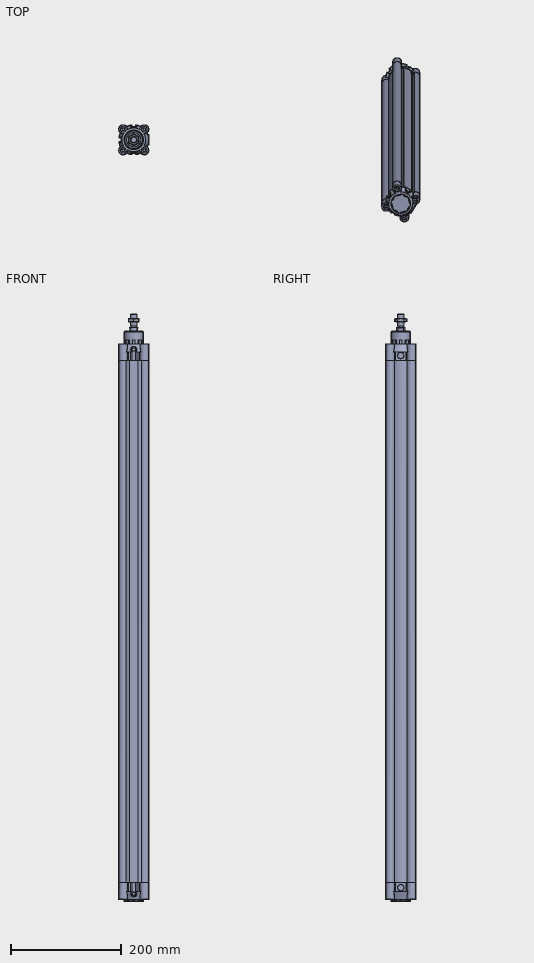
import cadquery as cq
import math

stroke = 900.0
foot_collar_height = 4.0
body_length = 105.0 + stroke
rod_end_extension = 30.0
thread_length = 24.0
body_top = foot_collar_height + body_length
overall_length = body_top + rod_end_extension + thread_length

body_width = 54.5
half_width = body_width / 2
screw_offset = 19.0
post_radius = 8.0
post_offset = half_width - post_radius
tube_radius = 22.5
bore_diameter = 40.0
rod_diameter = 16.0

cap_length = 30.0
cone_length = 14.5
cone_end_radius = 21.5
cone_base_radius = half_width
screw_hole_diameter = 4.92
screw_hole_depth = 20.0
screw_recess_diameter = 10.0
screw_recess_depth = 4.0
port_diameter = 11.45
port_depth = 10.0
port_boss_width = 19.0
port_from_end = 21.0
side_angles = (90, 180, 270)

wide_recess_width = 19.0
wide_recess_floor = 20.0
middle_recess_width = 12.0
middle_recess_floor = 18.5
narrow_recess_width = 7.0
narrow_recess_floor = 17.0
keyhole_diameter = 11.0
keyhole_from_end = 10.0
screw_seat_diameter = 6.2
screw_seat_floor = 15.5

collar_diameter = 35.0
head_collar_height = 23.5
collar_chamfer_height = 2.0
collar_chamfer_width = 1.5
wiper_seat_diameter = 26.0
wiper_seat_depth = 1.0
head_notch_height = 7.5
foot_notch_height = 2.5
notch_depth = 2.0
notch_count = 8
axis_notch_width = 5.0
diagonal_notch_width = 8.0

barrel_bottom = foot_collar_height + cap_length
barrel_length = body_length - 2 * cap_length
slot_half_width = 14.0
slot_floor = 15.0
pad_width = 16.0
pad_face = 24.5

thread_diameter = 12.0
thread_chamfer = 1.0
undercut_diameter = 10.3
undercut_length = 3.0
wrench_flat_width = 13.0
wrench_flat_length = 7.0
wrench_flat_gap = 1.0
nut_across_flats = 19.0
nut_height = 6.0
nut_bottom = overall_length - 14.0
nut_chamfer_height = 0.8
nut_face_diameter = 18.0


def cylinder(diameter, height, bottom=0.0):
    return cq.Workplane("XY").workplane(offset=bottom).circle(diameter / 2).extrude(height)


def box(x_range, y_range, z_range):
    """Box between the given limits on each axis."""
    sizes = [high - low for low, high in (x_range, y_range, z_range)]
    corner = cq.Vector(x_range[0], y_range[0], z_range[0])
    return cq.Workplane(cq.Solid.makeBox(*sizes, corner))


def turned(body, angle):
    return body.rotate((0, 0, 0), (0, 0, 1), angle)


def revolved(profile):
    """Solid of revolution about Z from (radius, z) points."""
    return cq.Workplane("XZ").polyline(profile).close().revolve(360, (0, 0, 0), (0, 1, 0))


def notched_collar(height, notch_height):
    """Pilot collar standing on Z = 0, with eight notches around its root."""
    collar = cylinder(collar_diameter, height)
    radius = collar_diameter / 2
    for index in range(notch_count):
        width = diagonal_notch_width if index % 2 else axis_notch_width
        notch = box((radius - notch_depth, radius), (-width / 2, width / 2), (0, notch_height))
        collar = collar.cut(turned(notch, 360 / notch_count * index))
    return collar


def side_box(width, inner, z_range):
    """Box on the +X side, from the given distance off the axis out to the side face."""
    return box((inner, half_width), (-width / 2, width / 2), z_range)


def side_hole(diameter, inner, z):
    """Round hole through the +X side face, down to the given distance off the axis."""
    return cq.Workplane("YZ", origin=(inner, 0, z)).circle(diameter / 2).extrude(half_width - inner)


def side_recess():
    """Nested recesses below the cone on the +X side, with a keyhole up through the cone."""
    below_cone = (-cap_length, -cone_length)
    below_keyhole = (-cap_length, -keyhole_from_end)
    recess = side_box(wide_recess_width, wide_recess_floor, below_cone)
    recess = recess.union(side_box(middle_recess_width, middle_recess_floor, below_cone))
    recess = recess.union(side_box(narrow_recess_width, narrow_recess_floor, below_keyhole))
    recess = recess.union(side_hole(keyhole_diameter, middle_recess_floor, -keyhole_from_end))
    return recess.union(side_hole(screw_seat_diameter, screw_seat_floor, -keyhole_from_end))


def corner_points(offset):
    return [(x, y) for x in (-offset, offset) for y in (-offset, offset)]


def cap_block():
    """Cap without collar: end face at Z = 0, body reaching down to the barrel."""
    posts = (
        cq.Workplane("XY", origin=(0, 0, -cap_length))
        .pushPoints(corner_points(post_offset))
        .circle(post_radius)
        .extrude(cap_length)
    )
    cone = revolved([
        (0, 0),
        (cone_end_radius, 0),
        (cone_base_radius, -cone_length),
        (0, -cone_length),
    ])
    core = cylinder(2 * tube_radius, cap_length - cone_length, -cap_length)
    port_boss = side_box(port_boss_width, 0, (-cap_length, -cone_length))
    block = core.union(cone).union(posts).union(port_boss)

    for angle in side_angles:
        block = block.cut(turned(side_recess(), angle))
    block = block.cut(side_hole(port_diameter, half_width - port_depth, -port_from_end))

    for x, y in corner_points(screw_offset):
        screw_hole = cylinder(screw_hole_diameter, screw_hole_depth, -screw_hole_depth)
        recess = cylinder(screw_recess_diameter, screw_recess_depth, -screw_recess_depth)
        block = block.cut(screw_hole.union(recess).translate((x, y, 0)))
    return block


def make_bearing_cap():
    radius = collar_diameter / 2
    chamfer_start = head_collar_height - collar_chamfer_height
    envelope = revolved([
        (0, 0),
        (radius, 0),
        (radius, chamfer_start),
        (radius - collar_chamfer_width, head_collar_height),
        (0, head_collar_height),
    ])
    collar = notched_collar(head_collar_height, head_notch_height).intersect(envelope)
    wiper_seat = cylinder(wiper_seat_diameter, wiper_seat_depth, head_collar_height - wiper_seat_depth)
    rod_hole = cylinder(rod_diameter, cap_length + head_collar_height, -cap_length)
    cap = cap_block().union(collar).cut(wiper_seat).cut(rod_hole)
    return cap.translate((0, 0, body_top))


def make_end_cap():
    cap = cap_block().union(notched_collar(foot_collar_height, foot_notch_height))
    cap = cap.mirror("XY")
    return cap.translate((0, 0, foot_collar_height))


def make_barrel():
    """Tube with four round corner rails; the -Y and +Y sides have wider gaps with a flat pad."""
    z_range = (barrel_bottom, barrel_bottom + barrel_length)
    rails = (
        cq.Workplane("XY", origin=(0, 0, barrel_bottom))
        .pushPoints(corner_points(post_offset))
        .circle(post_radius)
        .extrude(barrel_length)
    )
    for y_range in ((-half_width, -slot_floor), (slot_floor, half_width)):
        rails = rails.cut(box((-slot_half_width, slot_half_width), y_range, z_range))
    pads = box((-pad_width / 2, pad_width / 2), (-pad_face, pad_face), z_range)
    barrel = cylinder(2 * tube_radius, barrel_length, barrel_bottom).union(rails).union(pads)
    return barrel.cut(cylinder(bore_diameter, barrel_length, barrel_bottom))


def make_piston_rod():
    shoulder = body_top + rod_end_extension
    rod = cylinder(rod_diameter, shoulder - barrel_bottom, barrel_bottom)
    flats_top = shoulder - wrench_flat_gap
    half_flat = wrench_flat_width / 2
    for low, high in ((-rod_diameter, -half_flat), (half_flat, rod_diameter)):
        flat = box((low, high), (-rod_diameter, rod_diameter), (flats_top - wrench_flat_length, flats_top))
        rod = rod.cut(flat)
    undercut = cylinder(undercut_diameter, undercut_length, shoulder)
    thread = cylinder(thread_diameter, thread_length - undercut_length, shoulder + undercut_length)
    thread = thread.faces(">Z").chamfer(thread_chamfer)
    return rod.union(undercut).union(thread)


def make_nut():
    """Thin hexagon nut with two flats facing along X."""
    across_corners = nut_across_flats / math.cos(math.radians(30))
    nut = (
        cq.Workplane("XY", origin=(0, 0, nut_bottom))
        .transformed(rotate=(0, 0, 90))
        .polygon(6, across_corners)
        .extrude(nut_height)
    )
    corner_radius = across_corners / 2
    face_radius = nut_face_diameter / 2
    rounding = revolved([
        (0, 0),
        (face_radius, 0),
        (corner_radius, nut_chamfer_height),
        (corner_radius, nut_height - nut_chamfer_height),
        (face_radius, nut_height),
        (0, nut_height),
    ])
    nut = nut.intersect(rounding.translate((0, 0, nut_bottom)))
    return nut.cut(cylinder(thread_diameter, nut_height, nut_bottom))


bearing_cap = make_bearing_cap()
end_cap = make_end_cap()
barrel = make_barrel()
piston_rod = make_piston_rod()
nut = make_nut()

result = cq.Compound.makeCompound([
    bearing_cap.val(),
    end_cap.val(),
    barrel.val(),
    piston_rod.val(),
    nut.val(),
])